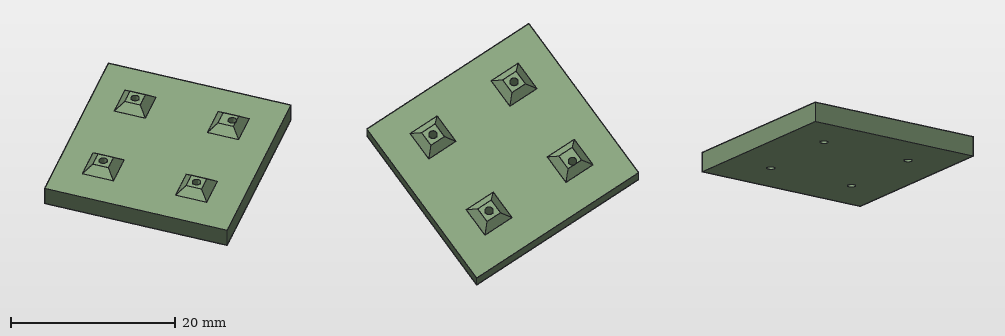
import cadquery as cq

plate_length_x = 23.5
plate_length_y = 24.0
plate_thickness = 2.5

pad_base = 4.0
pad_top = 2.0
pad_height = 1.0
pad_spacing = 12.0
first_pad_x = 5.5
first_pad_y = (plate_length_y - pad_spacing) / 2

hole_diameter = 1.0
far_hole_shift = 0.5

total_height = plate_thickness + pad_height
far_x = first_pad_x + pad_spacing
far_y = first_pad_y + pad_spacing
pad_centers = [(x, y) for x in (first_pad_x, far_x) for y in (first_pad_y, far_y)]


def make_pad(x, y):
    """Square frustum standing on the plate."""
    return (
        cq.Workplane("XY", origin=(x, y, plate_thickness))
        .rect(pad_base, pad_base)
        .workplane(offset=pad_height)
        .rect(pad_top, pad_top)
        .loft(ruled=True)
    )


def make_hole(x, y):
    """Cylinder passing through the pad and the plate."""
    return cq.Workplane("XY", origin=(x, y, 0)).circle(hole_diameter / 2).extrude(total_height)


result = cq.Workplane("XY").box(plate_length_x, plate_length_y, plate_thickness, centered=False)

for x, y in pad_centers:
    result = result.union(make_pad(x, y))

for x, y in pad_centers:
    is_far_corner = (x, y) == (far_x, far_y)
    hole_x = x + far_hole_shift if is_far_corner else x
    result = result.cut(make_hole(hole_x, y))